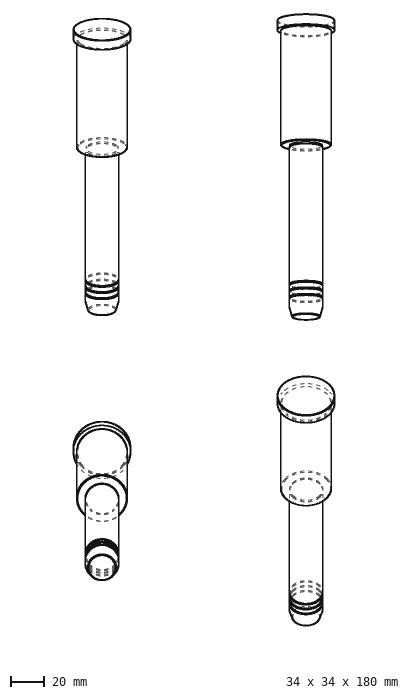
import cadquery as cq

TOTAL_LENGTH = 180.0
HEAD_HEIGHT = 6.1
BODY_BOTTOM_Z = 104.0
RELIEF_LENGTH = 1.0
NOSE_LENGTH = 6.1

HEAD_DIAMETER = 34.0
BODY_DIAMETER = 30.0
SHANK_DIAMETER = 20.0
TIP_DIAMETER = 17.0
RELIEF_DEPTH = 0.4

HEAD_CHAMFER = 0.4
BODY_CHAMFER = 0.5
TIP_CHAMFER = 0.5

NOSE_SAG = 0.05

GROOVE_COUNT = 3
GROOVE_WIDTH = 0.97
GROOVE_PITCH = 4.0
TOP_GROOVE_UPPER_Z = 20.0
GROOVE_DEPTH = GROOVE_WIDTH / 2

HEAD_BOTTOM_Z = TOTAL_LENGTH - HEAD_HEIGHT
SHANK_RADIUS = SHANK_DIAMETER / 2
TIP_RADIUS = TIP_DIAMETER / 2


def cylinder(diameter, bottom_z, top_z):
    """Upright cylinder on the Z axis between two heights."""
    return cq.Workplane("XY").workplane(offset=bottom_z).circle(diameter / 2).extrude(top_z - bottom_z)


def revolve_about_z(profile):
    """Full turn about the Z axis of a closed profile drawn in the XZ plane."""
    return profile.revolve(360, (0, 0, 0), (0, 1, 0))


def make_head():
    """Collar with a chamfered top rim."""
    head = cylinder(HEAD_DIAMETER, HEAD_BOTTOM_Z, TOTAL_LENGTH)
    return head.faces(">Z").edges().chamfer(HEAD_CHAMFER)


def make_body():
    """Thick body chamfered at both ends."""
    body = cylinder(BODY_DIAMETER, BODY_BOTTOM_Z, HEAD_BOTTOM_Z)
    return body.edges("%CIRCLE").chamfer(BODY_CHAMFER)


def make_shank():
    """Shank with a narrower relief under the body and a tapered nose."""
    relief_radius = SHANK_RADIUS - RELIEF_DEPTH
    relief_bottom_z = BODY_BOTTOM_Z - RELIEF_LENGTH
    nose_middle_radius = (SHANK_RADIUS + TIP_RADIUS) / 2 - NOSE_SAG
    nose_middle_z = (NOSE_LENGTH + TIP_CHAMFER) / 2
    return revolve_about_z(
        cq.Workplane("XZ")
        .lineTo(TIP_RADIUS - TIP_CHAMFER, 0)
        .lineTo(TIP_RADIUS, TIP_CHAMFER)
        .threePointArc((nose_middle_radius, nose_middle_z), (SHANK_RADIUS, NOSE_LENGTH))
        .lineTo(SHANK_RADIUS, relief_bottom_z)
        .lineTo(relief_radius, relief_bottom_z)
        .lineTo(relief_radius, BODY_BOTTOM_Z)
        .lineTo(0, BODY_BOTTOM_Z)
        .close()
    )


def make_groove_cutter(upper_z):
    """Triangular ring that cuts one V groove below the given height."""
    return revolve_about_z(
        cq.Workplane("XZ")
        .moveTo(SHANK_RADIUS, upper_z)
        .lineTo(SHANK_RADIUS - GROOVE_DEPTH, upper_z - GROOVE_WIDTH / 2)
        .lineTo(SHANK_RADIUS, upper_z - GROOVE_WIDTH)
        .close()
    )


result = make_head().union(make_body()).union(make_shank())
for index in range(GROOVE_COUNT):
    result = result.cut(make_groove_cutter(TOP_GROOVE_UPPER_Z - index * GROOVE_PITCH))